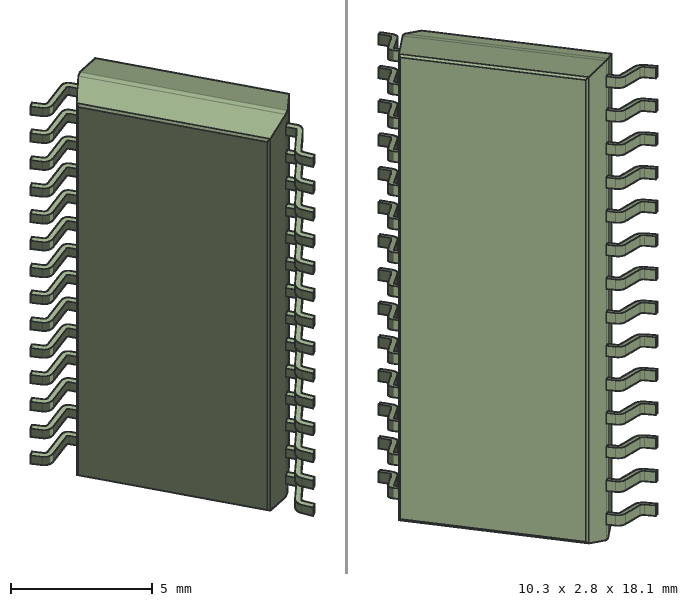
import cadquery as cq
import math

body_width = 7.6
body_length = 18.1
body_thickness = 2.66
band_thickness = 0.22
taper_inset = 0.25
bevel_size = 0.09

lead_count = 14
lead_row_length = 16.5
lead_pitch = lead_row_length / (lead_count - 1)
lead_width = 0.4
lead_thickness = band_thickness
lead_span = 10.35
overall_thickness = 2.8
shoulder_reach = 4.15
shoulder_inner_radius = 0.07
heel_inner_radius = 0.15
heel_reach = 4.78
foot_tilt = math.radians(5)
lead_embed = 0.18


def frustum(start_y, depth, inset, width, length):
    """Tapered block growing from start_y towards -Y, narrowing by inset on every side."""
    return (
        cq.Workplane("XZ", origin=(0, start_y, 0))
        .rect(width, length)
        .workplane(offset=depth)
        .rect(width - 2 * inset, length - 2 * inset)
        .loft(combine=True)
    )


def make_body():
    band = cq.Workplane("XY").box(body_width, band_thickness, body_length)
    band_face = -band_thickness / 2
    taper_depth = (body_thickness - band_thickness) / 2 - bevel_size
    taper = frustum(band_face, taper_depth, taper_inset, body_width, body_length)
    bevel = frustum(
        band_face - taper_depth,
        bevel_size,
        bevel_size,
        body_width - 2 * taper_inset,
        body_length - 2 * taper_inset,
    )
    half = taper.union(bevel)
    return band.union(half).union(half.mirror("XZ"))


def make_lead():
    """One lead on the +X side, centred on Z = 0."""
    shoulder_outer_radius = shoulder_inner_radius + lead_thickness
    heel_outer_radius = heel_inner_radius + lead_thickness
    tip = lead_span / 2
    shoulder_top = lead_thickness / 2
    toe = body_thickness / 2 - overall_thickness
    foot_height = lead_thickness / math.cos(foot_tilt)

    upper_x = shoulder_reach
    upper_y = shoulder_top - shoulder_outer_radius
    lower_x = heel_reach
    heel_bottom = toe + (tip - lower_x) * math.tan(foot_tilt)
    lower_y = heel_bottom + heel_outer_radius / math.cos(foot_tilt)

    run = lower_x - upper_x
    drop = upper_y - lower_y
    radius_sum = shoulder_inner_radius + heel_outer_radius
    leg_length = math.sqrt(run**2 + drop**2 - radius_sum**2)
    bend_turn = math.atan2(drop, run) + math.atan2(radius_sum, leg_length)
    upper_middle = bend_turn / 2
    lower_middle = (bend_turn + foot_tilt) / 2

    def upper(radius, turn):
        return (upper_x + radius * math.sin(turn), upper_y + radius * math.cos(turn))

    def lower(radius, turn):
        return (lower_x - radius * math.sin(turn), lower_y - radius * math.cos(turn))

    root = body_width / 2 - lead_embed
    return (
        cq.Workplane("XY", origin=(0, 0, -lead_width / 2))
        .moveTo(root, shoulder_top)
        .lineTo(*upper(shoulder_outer_radius, 0))
        .threePointArc(
            upper(shoulder_outer_radius, upper_middle),
            upper(shoulder_outer_radius, bend_turn),
        )
        .lineTo(*lower(heel_inner_radius, bend_turn))
        .threePointArc(
            lower(heel_inner_radius, lower_middle),
            lower(heel_inner_radius, foot_tilt),
        )
        .lineTo(tip, toe + foot_height)
        .lineTo(tip, toe)
        .lineTo(*lower(heel_outer_radius, foot_tilt))
        .threePointArc(
            lower(heel_outer_radius, lower_middle),
            lower(heel_outer_radius, bend_turn),
        )
        .lineTo(*upper(shoulder_inner_radius, bend_turn))
        .threePointArc(
            upper(shoulder_inner_radius, upper_middle),
            upper(shoulder_inner_radius, 0),
        )
        .lineTo(root, shoulder_top - lead_thickness)
        .close()
        .extrude(lead_width)
    )


result = make_body()
right_lead = make_lead()
left_lead = right_lead.mirror("YZ")
for index in range(lead_count):
    height = index * lead_pitch - lead_row_length / 2
    for lead in (right_lead, left_lead):
        result = result.union(lead.translate((0, 0, height)))